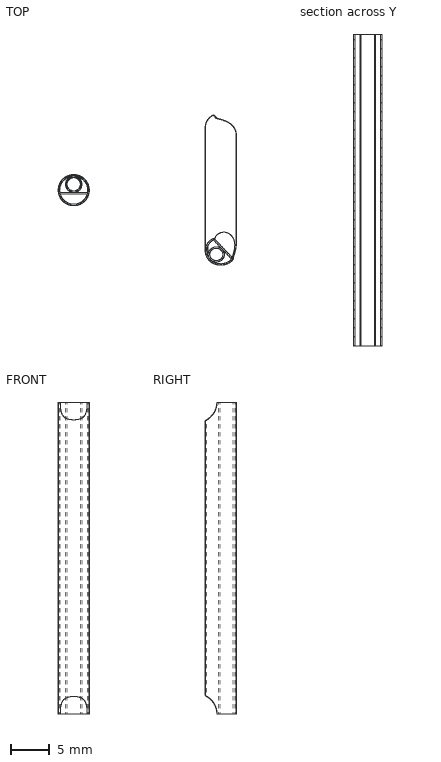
import cadquery as cq

length = 40.0
outer_radius = 2.0
sheath_wall = 0.2
channel_radius = 1.05
channel_wall = 0.2
scoop_radius = 2.6
scoop_axis_y = -3.1
rim_fillet = 0.15

bore_radius = outer_radius - sheath_wall
channel_y = bore_radius - channel_radius
filler_top_y = channel_y - channel_radius
half_length = length / 2
on_surface_tolerance = sheath_wall / 10


def rod(radius, y=0.0):
    """Full-length cylinder along Z, centred on the origin in Z."""
    return cq.Workplane("XY", origin=(0, y, -half_length)).circle(radius).extrude(length)


def cut_scoops(body):
    """Hollow the front of both ends with cylinders lying along X."""
    for end_z in (-half_length, half_length):
        scoop = (
            cq.Workplane("YZ", origin=(-outer_radius, scoop_axis_y, end_z))
            .circle(scoop_radius)
            .extrude(2 * outer_radius)
        )
        body = body.cut(scoop)
    return body


def is_outer_scoop_edge(edge):
    """True for the curve where a scoop meets the outside of the sheath."""
    middle = edge.positionAt(0.5)
    off_end_face = half_length - abs(middle.z) > sheath_wall
    on_outside = abs((middle.x**2 + middle.y**2) ** 0.5 - outer_radius) < on_surface_tolerance
    return off_end_face and on_outside and edge.geomType() not in ("LINE", "CIRCLE")


sheath = cut_scoops(rod(outer_radius).cut(rod(bore_radius)))
rim_edges = [edge for edge in sheath.edges().vals() if is_outer_scoop_edge(edge)]
sheath = sheath.newObject(rim_edges).fillet(rim_fillet)

channel = rod(channel_radius, channel_y).cut(rod(channel_radius - channel_wall, channel_y))

front_block = (
    cq.Workplane("XY")
    .box(2 * outer_radius, outer_radius, length, centered=(True, False, True))
    .translate((0, filler_top_y - outer_radius, 0))
)
filler = cut_scoops(rod(bore_radius).intersect(front_block))

result = cq.Compound.makeCompound([sheath.val(), channel.val(), filler.val()])